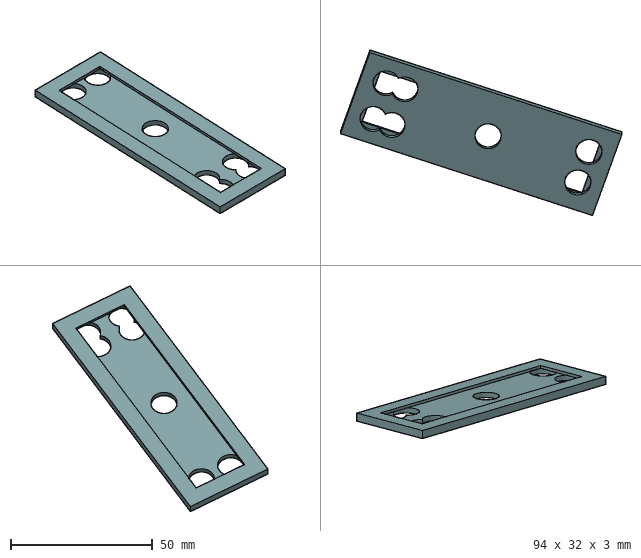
import cadquery as cq

length = 94.0
width = 32.0
thickness = 3.0
frame_width = 6.0
pocket_depth = 1.0
floor_thickness = thickness - pocket_depth

hole_diameter = 9.2
center_hole_x = -2.5
left_hole_x = -38.1
left_hole_y = 6.0
right_inner_hole_x = 30.9
right_outer_hole_x = 37.9
right_hole_y = 7.05


def mirrored_pair(x, y):
    return [(x, y), (x, -y)]


def make_tray():
    plate = cq.Workplane("XY").box(length, width, thickness, centered=(True, True, False))
    pocket = (
        cq.Workplane("XY")
        .workplane(offset=floor_thickness)
        .rect(length - 2 * frame_width, width - 2 * frame_width)
        .extrude(pocket_depth)
    )
    return plate.cut(pocket)


def make_floor_holes():
    """Cylinders as tall as the floor, so the end holes undercut the frame without piercing its top."""
    centers = [(center_hole_x, 0)]
    centers += mirrored_pair(left_hole_x, left_hole_y)
    centers += mirrored_pair(right_inner_hole_x, right_hole_y)
    centers += mirrored_pair(right_outer_hole_x, right_hole_y)
    holes = cq.Workplane("XY")
    for x, y in centers:
        hole = cq.Workplane("XY").center(x, y).circle(hole_diameter / 2).extrude(floor_thickness)
        holes = holes.add(hole)
    return holes.combine()


result = make_tray().cut(make_floor_holes())